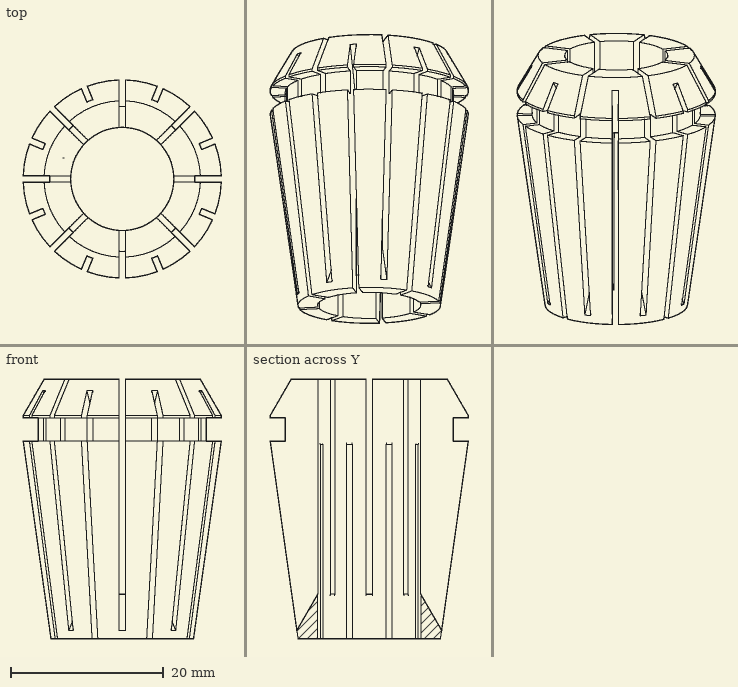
import cadquery as cq
import math

height = 34.0
outer_diameter = 25.98
bore_diameter = 13.5
body_taper_angle = 8.0
nose_angle = 30.0
groove_bottom_z = 25.87
groove_top_z = 28.95
groove_diameter = 22.03
rim_height = 0.3

slits_per_end = 8
slit_width = 0.8
top_slit_outer_end_z = 1.1
top_slit_inner_end_z = 5.85
bottom_slit_outer_end_z = 32.5
bottom_slit_inner_end_z = 25.43

outer_radius = outer_diameter / 2
bore_radius = bore_diameter / 2
groove_radius = groove_diameter / 2
nose_start_z = groove_top_z + rim_height
slit_pitch = 360 / slits_per_end
slit_overshoot = 1.7


def body_cone_radius(z):
    return outer_radius - (groove_bottom_z - z) * math.tan(math.radians(body_taper_angle))


def nose_cone_radius(z):
    return outer_radius - (z - nose_start_z) * math.tan(math.radians(nose_angle))


def make_body():
    half_section = [
        (bore_radius, 0),
        (body_cone_radius(0), 0),
        (outer_radius, groove_bottom_z),
        (groove_radius, groove_bottom_z),
        (groove_radius, groove_top_z),
        (outer_radius, groove_top_z),
        (outer_radius, nose_start_z),
        (nose_cone_radius(height), height),
        (bore_radius, height),
    ]
    return cq.Workplane("XZ").polyline(half_section).close().revolve(360, (0, 0), (0, 1))


def make_slit(inner_end, outer_end, open_end_z):
    """Radial slit along +X whose sloping end runs straight through two (radius, z) points."""
    (inner_r, inner_z), (outer_r, outer_z) = inner_end, outer_end
    slope = (outer_z - inner_z) / (outer_r - inner_r)
    start_r = inner_r - slit_overshoot
    end_r = outer_radius + slit_overshoot
    outline = [
        (start_r, inner_z + slope * (start_r - inner_r)),
        (end_r, inner_z + slope * (end_r - inner_r)),
        (end_r, open_end_z),
        (start_r, open_end_z),
    ]
    return cq.Workplane("XZ").polyline(outline).close().extrude(slit_width / 2, both=True)


def cut_slits(body, slit, first_angle):
    for i in range(slits_per_end):
        body = body.cut(slit.rotate((0, 0, 0), (0, 0, 1), first_angle + i * slit_pitch))
    return body


top_slit = make_slit(
    (bore_radius, top_slit_inner_end_z),
    (body_cone_radius(top_slit_outer_end_z), top_slit_outer_end_z),
    height + slit_overshoot,
)
bottom_slit = make_slit(
    (bore_radius, bottom_slit_inner_end_z),
    (nose_cone_radius(bottom_slit_outer_end_z), bottom_slit_outer_end_z),
    -slit_overshoot,
)

result = cut_slits(make_body(), top_slit, 0)
result = cut_slits(result, bottom_slit, slit_pitch / 2)